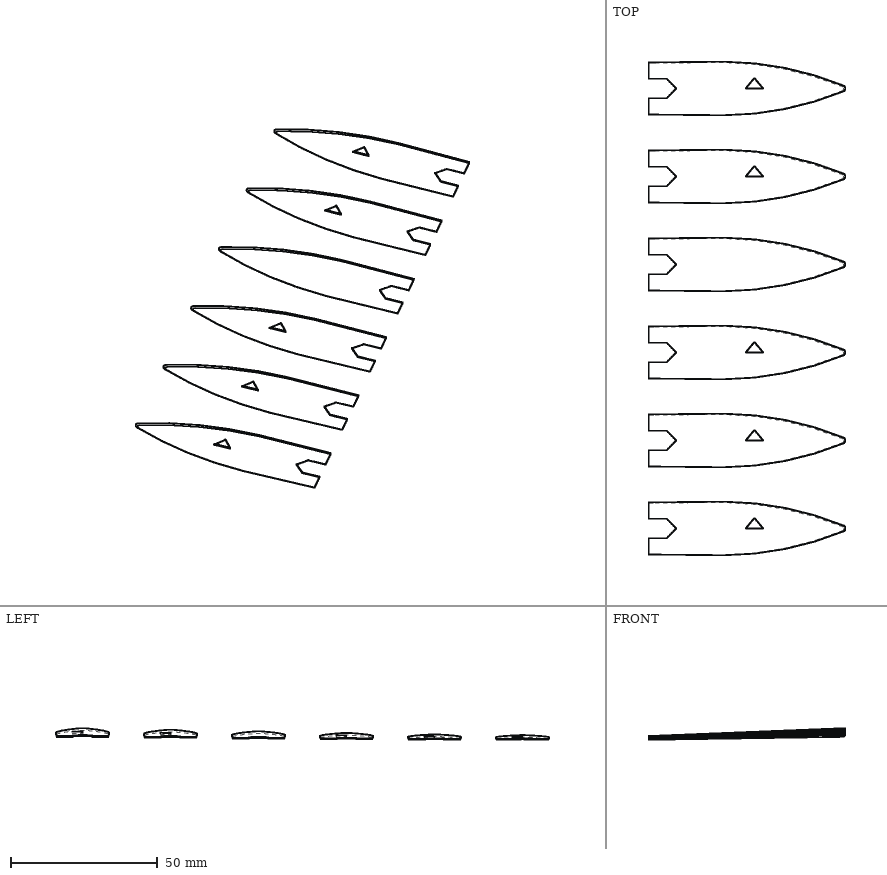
import cadquery as cq
import math

length = 67.1
fork_half_width = 17.8 / 2
max_half_width = 18.3 / 2
widest_x = 25.7
tip_half_width = 1.0
tip_round_length = 0.7
side_arc_mid_x = 51.0
side_arc_mid_half_width = 6.0

flank_inset = 0.2
tip_inset = 0.7

fork_thickness = 0.39
tip_thickness = 0.65

slot_half_width = 6.5 / 2
slot_length = 6.2
notch_length = 9.5

window_start_x = 33.1
window_length = 5.9
window_height = 3.5

row_width = 168.3
blade_kinds = [
    (1.3, 2.3, True),
    (1.06, 2.1, True),
    (0.75, 1.9, False),
    (0.55, 1.6, True),
    (0.4, 1.3, True),
    (0.39, 1.1, True),
]
blade_pitch = (row_width - 2 * max_half_width) / (len(blade_kinds) - 1)

cut_depth = 3.4
cut_margin = 1.7


def outline_wire(side_inset, end_inset):
    """Nearly parallel flanks, then curved sides that meet in a blunt rounded tip."""
    tip_x = length - end_inset
    tip_start_x = tip_x - tip_round_length
    arc_mid_half_width = side_arc_mid_half_width - (side_inset + end_inset) / 2
    return (
        cq.Workplane("XY")
        .moveTo(0, fork_half_width - side_inset)
        .lineTo(widest_x, max_half_width - side_inset)
        .threePointArc((side_arc_mid_x, arc_mid_half_width), (tip_start_x, tip_half_width - side_inset))
        .threePointArc((tip_x, 0), (tip_start_x, side_inset - tip_half_width))
        .threePointArc((side_arc_mid_x, -arc_mid_half_width), (widest_x, side_inset - max_half_width))
        .lineTo(0, side_inset - fork_half_width)
        .close()
        .val()
    )


def blank():
    """Uncut blade with its top face level at Z = 0 and its underside slightly sloped."""
    top = outline_wire(0, 0)
    bottom = outline_wire(flank_inset, tip_inset)
    wedge_angle = math.degrees(math.atan((tip_thickness - fork_thickness) / length))
    bottom = bottom.rotate((0, 0, 0), (0, 1, 0), wedge_angle)
    bottom = bottom.translate(cq.Vector(0, 0, -fork_thickness))
    return cq.Workplane(cq.Solid.makeLoft([top, bottom], True))


def fork_notch():
    return (
        cq.Workplane("XY")
        .workplane(offset=-cut_depth / 2)
        .moveTo(-cut_margin, slot_half_width)
        .lineTo(slot_length, slot_half_width)
        .lineTo(notch_length, 0)
        .lineTo(slot_length, -slot_half_width)
        .lineTo(-cut_margin, -slot_half_width)
        .close()
        .extrude(cut_depth)
    )


def window():
    return (
        cq.Workplane("XY")
        .workplane(offset=-cut_depth / 2)
        .moveTo(window_start_x, 0)
        .lineTo(window_start_x + window_length, 0)
        .lineTo(window_start_x + window_length / 2, window_height)
        .close()
        .extrude(cut_depth)
    )


def blade(tilt, has_window):
    """Finished blade, tilted so that its top face rises toward the tip."""
    body = blank().cut(fork_notch())
    if has_window:
        body = body.cut(window())
    return body.rotate((0, 0, 0), (0, 1, 0), -tilt)


blades = []
for index, (fork_height, tilt, has_window) in enumerate(blade_kinds):
    y = row_width / 2 - max_half_width - index * blade_pitch
    blades.append(blade(tilt, has_window).translate((0, y, fork_height)).val())

result = cq.Compound.makeCompound(blades)